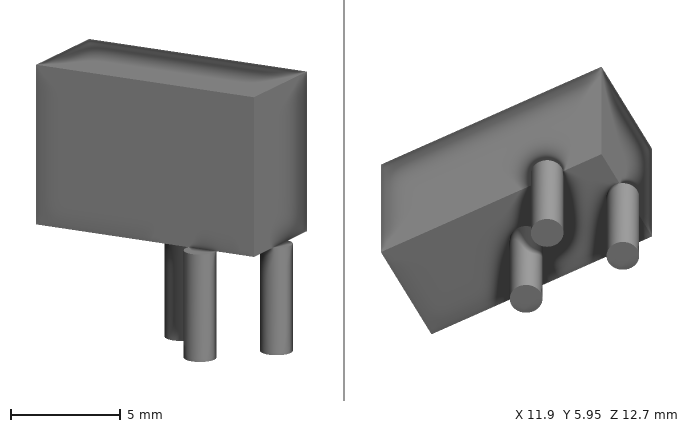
import cadquery as cq

housing_length = 11.4
housing_width = 5.0
housing_height = 7.6

total_height = 12.7
pin_diameter = 1.5
pin_length = total_height - housing_height
pin_pitch = 2.5
middle_pin_x = 3.0
front_row_y = -2.7
rear_row_y = 0.0

pin_positions = [
    (middle_pin_x - pin_pitch, rear_row_y),
    (middle_pin_x, front_row_y),
    (middle_pin_x + pin_pitch, rear_row_y),
]


def make_housing():
    """Plain rectangular block standing on Z = 0."""
    return cq.Workplane("XY").box(
        housing_length, housing_width, housing_height, centered=(True, True, False)
    )


def make_pin(x, y):
    """Straight cylinder whose top end meets the plane of the housing underside."""
    return cq.Workplane("XY").center(x, y).circle(pin_diameter / 2).extrude(-pin_length)


housing = make_housing()
pins = [make_pin(x, y) for x, y in pin_positions]

result = cq.Compound.makeCompound([housing.val(), *[pin.val() for pin in pins]])